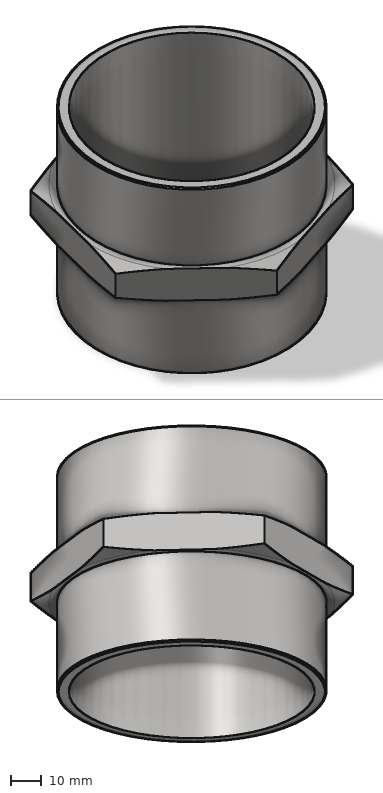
import cadquery as cq
import math

hex_across_corners = 105.1
hex_height = 13.0
collar_face_diameter = 93.1
corner_chamfer_angle = 15.0

pipe_length = 76.0
outer_diameter = 87.8
bore_diameter = 80.0
rim_chamfer = 0.5


def centred_cylinder(diameter, length):
    """Cylinder along Z with its middle at the origin."""
    return cq.Workplane("XY").workplane(offset=-length / 2).circle(diameter / 2).extrude(length)


def chamfered_collar():
    """Hexagon with its corners cut by a cone on both sides."""
    corner_radius = hex_across_corners / 2
    face_radius = collar_face_diameter / 2
    half_height = hex_height / 2
    chamfer_drop = (corner_radius - face_radius) * math.tan(math.radians(corner_chamfer_angle))
    edge_height = half_height - chamfer_drop

    collar = (
        cq.Workplane("XY")
        .workplane(offset=-half_height)
        .polygon(6, hex_across_corners)
        .extrude(hex_height)
    )
    envelope = (
        cq.Workplane("XZ")
        .moveTo(0, -half_height)
        .lineTo(face_radius, -half_height)
        .lineTo(corner_radius, -edge_height)
        .lineTo(corner_radius, edge_height)
        .lineTo(face_radius, half_height)
        .lineTo(0, half_height)
        .close()
        .revolve(360, (0, 0, 0), (0, 1, 0))
    )
    return collar.intersect(envelope)


def pipe_body():
    """Solid cylinder with both outer rims chamfered."""
    body = centred_cylinder(outer_diameter, pipe_length)
    return body.faces("<Z or >Z").edges().chamfer(rim_chamfer)


bore = centred_cylinder(bore_diameter, pipe_length)

result = chamfered_collar().union(pipe_body()).cut(bore)